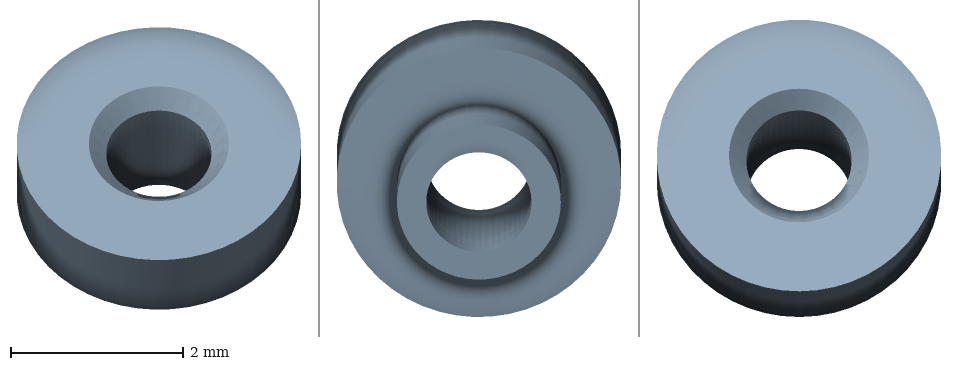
import cadquery as cq

flange_diameter = 3.3
flange_height = 1.0
spigot_diameter = 1.9
total_height = 1.7
bore_diameter = 1.22
bore_chamfer = 0.2

spigot_height = total_height - flange_height

spigot = cq.Workplane("XY").circle(spigot_diameter / 2).extrude(spigot_height)
body = spigot.faces(">Z").workplane().circle(flange_diameter / 2).extrude(flange_height)

bored = body.faces(">Z").workplane().hole(bore_diameter)
bore_rim = cq.selectors.RadiusNthSelector(0)
result = bored.faces(">Z").edges(bore_rim).chamfer(bore_chamfer)